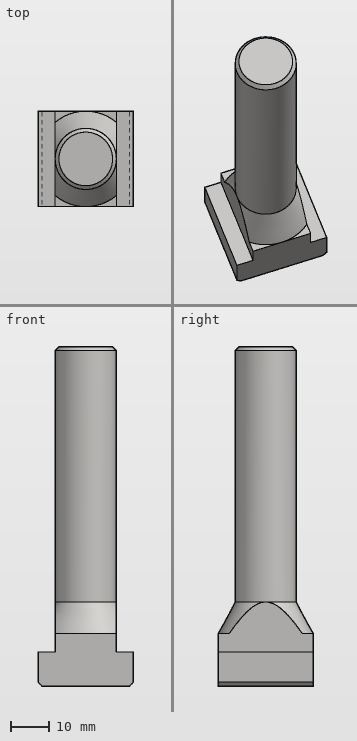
import cadquery as cq

total_height = 89.0
head_width = 25.0
shank_diameter = 16.0

head_height = 9.0
neck_top = 13.8
cone_top = 22.1

head_chamfer = 1.1
tip_chamfer = 1.0

cone_height = cone_top - neck_top


def square_head():
    """Square head with its two lower edges along Y chamfered."""
    head = cq.Workplane("XY").rect(head_width, head_width).extrude(head_height)
    return head.faces("<Z").edges("|Y").chamfer(head_chamfer)


def neck():
    """Rectangular neck, as wide as the shank and as long as the head."""
    return cq.Workplane("XY").rect(shank_diameter, head_width).extrude(neck_top)


def cone_transition():
    """Cone from the neck to the shank, trimmed flush with the neck sides."""
    cone = cq.Workplane(
        cq.Solid.makeCone(
            head_width / 2, shank_diameter / 2, cone_height, pnt=cq.Vector(0, 0, neck_top)
        )
    )
    trim = (
        cq.Workplane("XY")
        .workplane(offset=neck_top)
        .rect(shank_diameter, head_width)
        .extrude(cone_height)
    )
    return cone.intersect(trim)


def shank():
    """Round shank with a chamfered tip."""
    rod = (
        cq.Workplane("XY")
        .workplane(offset=cone_top)
        .circle(shank_diameter / 2)
        .extrude(total_height - cone_top)
    )
    return rod.faces(">Z").chamfer(tip_chamfer)


result = square_head().union(neck()).union(cone_transition()).union(shank())